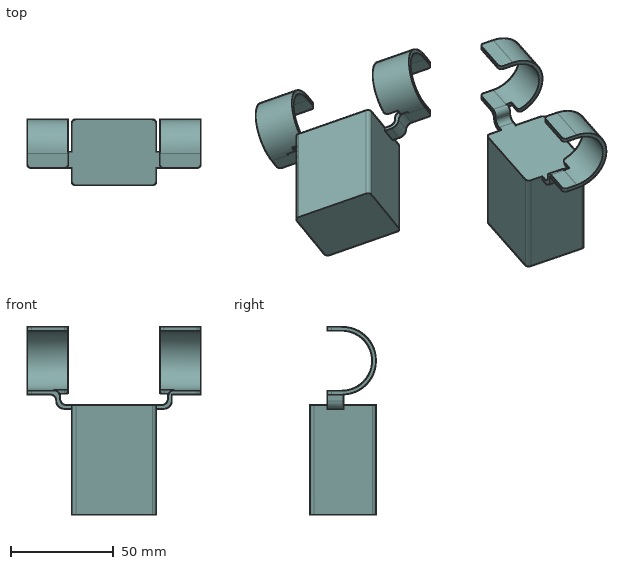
import math

import cadquery as cq

BLOCK_LENGTH = 41.2
BLOCK_DEPTH = 32.2
BLOCK_HEIGHT = 53.5
CORNER_RADIUS = 2.0

SHEET = 2.0
OVERALL_LENGTH = 84.5
CLIP_WIDTH = 20.0
CLIP_OUTER_RADIUS = 16.5
CLIP_INNER_RADIUS = CLIP_OUTER_RADIUS - SHEET
CLIP_LIP = 7.3
CLIP_GAP = 5.0

STRAP_WIDTH = 8.0
STRAP_INSET = 3.9
BEND_RADIUS = 3.0
LOWER_OUTER_RADIUS = 4.0
STRAP_OVERLAP = 2.0

RELIEF_ANGLE = math.radians(11.7)

CLIP_INNER_X = OVERALL_LENGTH / 2 - CLIP_WIDTH
CLIP_CENTER_Y = BLOCK_DEPTH / 2 - CLIP_OUTER_RADIUS
CLIP_FRONT_Y = CLIP_CENTER_Y - CLIP_LIP
CLIP_BOTTOM_Z = BLOCK_HEIGHT + CLIP_GAP
CLIP_CENTER_Z = CLIP_BOTTOM_Z + CLIP_OUTER_RADIUS
STRAP_INNER_X = CLIP_INNER_X + STRAP_INSET
STRAP_OUTER_X = STRAP_INNER_X + SHEET
RELIEF_END_X = STRAP_INNER_X + BEND_RADIUS


def make_block():
    block = cq.Workplane("XY").box(BLOCK_LENGTH, BLOCK_DEPTH, BLOCK_HEIGHT, centered=(True, True, False))
    return block.edges("|Z").fillet(CORNER_RADIUS)


def fillet_edge_near(body, point, radius):
    """Round the single edge whose middle lies nearest to the point."""
    return body.edges(cq.selectors.NearestToPointSelector(point)).fillet(radius)


def clip_solid(radius):
    """Solid with a U-shaped outline of the given radius, as long as the clip is wide."""
    return (
        cq.Workplane("YZ", origin=(CLIP_INNER_X, 0, 0))
        .moveTo(CLIP_FRONT_Y, CLIP_CENTER_Z - radius)
        .lineTo(CLIP_CENTER_Y, CLIP_CENTER_Z - radius)
        .threePointArc((CLIP_CENTER_Y + radius, CLIP_CENTER_Z), (CLIP_CENTER_Y, CLIP_CENTER_Z + radius))
        .lineTo(CLIP_FRONT_Y, CLIP_CENTER_Z + radius)
        .close()
        .extrude(CLIP_WIDTH)
    )


def relief_point(radius):
    """Point (Y, Z) at a radius from the clip axis on the relief's slanted face."""
    return (
        CLIP_CENTER_Y + radius * math.sin(RELIEF_ANGLE),
        CLIP_CENTER_Z - radius * math.cos(RELIEF_ANGLE),
    )


def make_relief():
    """Cutter for the inner end of the lower lip and the first few degrees of the round part."""
    reach = CLIP_OUTER_RADIUS + SHEET
    return (
        cq.Workplane("YZ", origin=(CLIP_INNER_X, 0, 0))
        .moveTo(CLIP_FRONT_Y, CLIP_CENTER_Z)
        .lineTo(CLIP_CENTER_Y, CLIP_CENTER_Z)
        .lineTo(*relief_point(reach))
        .lineTo(CLIP_FRONT_Y, CLIP_CENTER_Z - reach)
        .close()
        .extrude(RELIEF_END_X - CLIP_INNER_X)
    )


def make_clip():
    """Clip with rounded corners on its lips and beside the relief."""
    clip = clip_solid(CLIP_OUTER_RADIUS).cut(clip_solid(CLIP_INNER_RADIUS))
    clip = clip.edges("|Z and <Y").fillet(CORNER_RADIUS)
    clip = clip.cut(make_relief())
    corner_y, corner_z = relief_point(CLIP_OUTER_RADIUS - SHEET / 2)
    return fillet_edge_near(clip, (CLIP_INNER_X, corner_y, corner_z), CORNER_RADIUS)


def make_strap(round_underside):
    """Stepped strap; the bend under the clip is rounded or left sharp."""
    block_end_x = BLOCK_LENGTH / 2 - STRAP_OVERLAP
    underside_end_x = STRAP_OUTER_X + BEND_RADIUS
    clip_end_x = underside_end_x + STRAP_OVERLAP
    clip_top_z = CLIP_BOTTOM_Z + SHEET
    block_under_z = BLOCK_HEIGHT - SHEET
    lower_bend_top_z = block_under_z + LOWER_OUTER_RADIUS

    profile = (
        cq.Workplane("XZ", origin=(0, CLIP_FRONT_Y, 0))
        .moveTo(block_end_x, block_under_z)
        .lineTo(STRAP_OUTER_X - LOWER_OUTER_RADIUS, block_under_z)
        .tangentArcPoint((STRAP_OUTER_X, lower_bend_top_z), relative=False)
    )
    if round_underside:
        profile = profile.tangentArcPoint((underside_end_x, CLIP_BOTTOM_Z), relative=False)
    else:
        profile = profile.lineTo(STRAP_OUTER_X, CLIP_BOTTOM_Z)

    profile = (
        profile.lineTo(clip_end_x, CLIP_BOTTOM_Z)
        .lineTo(clip_end_x, clip_top_z)
        .lineTo(RELIEF_END_X, clip_top_z)
        .tangentArcPoint((STRAP_INNER_X, clip_top_z - BEND_RADIUS), relative=False)
        .lineTo(STRAP_INNER_X, BLOCK_HEIGHT + BEND_RADIUS)
        .tangentArcPoint((STRAP_INNER_X - BEND_RADIUS, BLOCK_HEIGHT), relative=False)
        .lineTo(block_end_x, BLOCK_HEIGHT)
        .close()
    )
    return profile.extrude(-STRAP_WIDTH)


clip = make_clip()
right_holder = clip.union(make_strap(round_underside=False))
left_holder = clip.union(make_strap(round_underside=True)).mirror("YZ")

result = make_block().union(right_holder).union(left_holder)